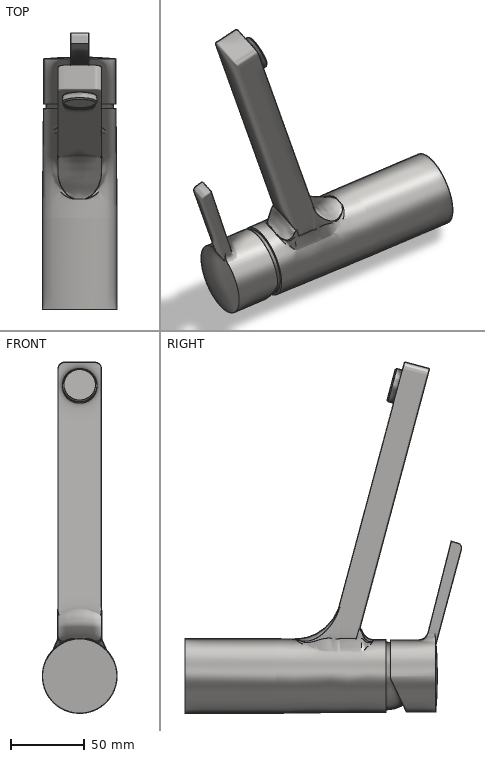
import cadquery as cq
import math


base_radius = 25.55
base_length = 62.4
body_end = 137.2
body_end_radius = 24.82
ball_radius = 23.15

handle_radius = 24.7
handle_start = 140.3
handle_end = 171.3
handle_dome = 1.2
relief_top_z = -1.5
relief_bottom_y = 151.3

lever_width = 12.5
lever_root_back = (170.8, 19.2)
lever_root_front = (163.3, 19.2)
lever_tip_back = (189.7, 89.7)
lever_tip_front = (181.8, 92.0)
lever_tip_round = 3.5
lever_edge_round = 0.7
lever_blend = 6.7

lean = 15.0
spout_width = 29.7
spout_depth = 17.7
spout_top_z = 239.8 - base_radius
spout_top_front_y = 150.0
spout_corner_round = 4.8
spout_edge_round = 1.0

foot_half_width = 19.2
foot_side_z = 25.7
foot_front_radius = 31.7
foot_front_depth = 19.0
foot_back_radius = 8.9
foot_back_depth = 9.5
foot_tip_trim = 0.5
foot_sink = 0.2
foot_lift = 0.2
foot_flank_hollow = 0.4
foot_stations = 7
crest_flatness = 0.7

nozzle_radius = 11.8
nozzle_height = 4.8
nozzle_chamfer = 1.0
nozzle_from_top = 17.5

tan_lean = math.tan(math.radians(lean))
cos_lean = math.cos(math.radians(lean))
sin_lean = math.sin(math.radians(lean))

spout_axis_y = spout_top_front_y - spout_top_z * tan_lean
edge_loss = spout_edge_round * (sin_lean + cos_lean - 1.0)
spout_length = (spout_top_z + edge_loss) / cos_lean
handle_dome_radius = (handle_radius**2 + handle_dome**2) / (2 * handle_dome)


def body_radius_at(y):
    """Radius of the slightly tapered body at a place along Y."""
    taper = (base_radius - body_end_radius) / (body_end - base_length)
    return base_radius - max(y - base_length, 0.0) * taper


def make_body():
    """Base cylinder, tapered body and the ball that carries the handle."""
    profile = (
        cq.Workplane("XY")
        .lineTo(base_radius, 0)
        .lineTo(base_radius, base_length)
        .lineTo(body_end_radius, body_end)
        .lineTo(ball_radius, body_end)
        .radiusArc((0, body_end + ball_radius), -ball_radius)
        .close()
    )
    return profile.revolve(360, (0, 0), (0, 1))


def lean_back(shape):
    """Tilt an upright shape toward +Y and set it at the foot of the spout."""
    return shape.rotate((0, 0, 0), (1, 0, 0), -lean).translate((0, spout_axis_y, 0))


def make_spout():
    spout = (
        cq.Workplane("XY")
        .box(spout_width, spout_depth, spout_length, centered=(True, False, False))
        .edges(">Z and |Y").fillet(spout_corner_round)
        .faces("<Y or >Y").edges("not <Z").fillet(spout_edge_round)
    )
    return lean_back(spout)


def make_nozzle():
    nozzle = (
        cq.Workplane("XZ")
        .center(0, spout_length - nozzle_from_top)
        .circle(nozzle_radius)
        .extrude(nozzle_height)
        .faces("<Y").chamfer(nozzle_chamfer)
    )
    return lean_back(nozzle)


def foot_section(y, half_width, crest_z, flatness):
    """Cross-section of the foot at one place along Y.

    Flared flanks rise from the body to upright sides under a rounded crest.
    The crest follows the body's curve at flatness 0 and is flat at flatness 1.
    """
    radius = body_radius_at(y)
    side_x = half_width * spout_width / foot_half_width / 2
    low_z = math.sqrt(radius**2 - half_width**2) - foot_sink
    corner_z = crest_z - (1 - flatness) * (radius - math.sqrt(radius**2 - side_x**2))
    side_z = min(foot_side_z, low_z + 0.8 * (corner_z - low_z))
    flank_x = side_x + foot_flank_hollow * (half_width - side_x)
    body_z = math.sqrt(radius**2 - flank_x**2)
    flank_z = max((low_z + side_z) / 2, body_z + foot_lift)
    outline = (
        cq.Workplane("XZ", origin=(0, y, 0))
        .moveTo(-half_width, low_z)
        .lineTo(half_width, low_z)
        .threePointArc((flank_x, flank_z), (side_x, side_z))
        .lineTo(side_x, corner_z)
        .threePointArc((0, crest_z), (-side_x, corner_z))
        .lineTo(-side_x, side_z)
        .threePointArc((-flank_x, flank_z), (-half_width, low_z))
        .close()
    )
    return outline.val()


def foot_ramp(corner_y, direction, radius, depth):
    """Sections from the tip of the foot up to where its crest is tangent to the spout."""
    opening = math.radians(90 - direction * lean)
    tangent_length = radius / math.tan(opening / 2)
    tip_y = corner_y + direction * tangent_length
    run = tangent_length * (1 - math.cos(opening))
    sections = []
    for i in range(foot_stations):
        progress = i / (foot_stations - 1)
        reach = foot_tip_trim + (run - foot_tip_trim) * progress
        y = tip_y - direction * reach
        crest_z = body_radius_at(y) + radius - math.sqrt(radius**2 - reach**2)
        inset = max(1 - reach / depth, 0)
        half_width = foot_half_width * math.sqrt(1 - inset**2)
        sections.append(foot_section(y, half_width, crest_z, crest_flatness * progress))
    return sections


def make_foot():
    """Flared blend between the body and the front, sides and back of the spout."""
    front_corner_y = spout_axis_y + base_radius * tan_lean
    back_corner_y = front_corner_y + spout_depth / cos_lean
    front = foot_ramp(front_corner_y, -1, foot_front_radius, foot_front_depth)
    back = foot_ramp(back_corner_y, 1, foot_back_radius, foot_back_depth)
    middle = [front[-1], back[-1]]
    foot = cq.Workplane(cq.Solid.makeLoft(front))
    for sections in (middle, back):
        foot = foot.union(cq.Workplane(cq.Solid.makeLoft(sections)))
    return foot


def make_handle():
    """Round handle with a domed end and a slanted relief underneath."""
    handle = (
        cq.Workplane("XY")
        .moveTo(0, handle_start)
        .lineTo(handle_radius, handle_start)
        .lineTo(handle_radius, handle_end)
        .radiusArc((0, handle_end + handle_dome), -handle_dome_radius)
        .close()
        .revolve(360, (0, 0), (0, 1))
    )
    relief = (
        cq.Workplane("YZ")
        .moveTo(handle_start, relief_top_z)
        .lineTo(relief_bottom_y, -handle_radius)
        .lineTo(handle_start, -handle_radius)
        .close()
        .extrude(handle_radius, both=True)
    )
    return handle.cut(relief)


def make_lever():
    lever = (
        cq.Workplane("YZ")
        .moveTo(*lever_root_back)
        .lineTo(*lever_tip_back)
        .lineTo(*lever_tip_front)
        .lineTo(*lever_root_front)
        .close()
        .extrude(lever_width / 2, both=True)
    )
    lever = lever.edges(">Y").fillet(lever_tip_round)
    return lever.faces(">X or <X").edges("not <Z").fillet(lever_edge_round)


def make_levered_handle():
    """Handle and lever, blended where the lever's front and sides meet the handle."""
    joined = make_handle().union(make_lever())
    root = cq.selectors.BoxSelector(
        (-lever_width, handle_start + 12, 21.5),
        (lever_width, 169.8, 25.5),
    )
    return joined.edges(root).fillet(lever_blend)


result = (
    make_body()
    .union(make_foot())
    .union(make_spout())
    .union(make_nozzle())
    .union(make_levered_handle())
)